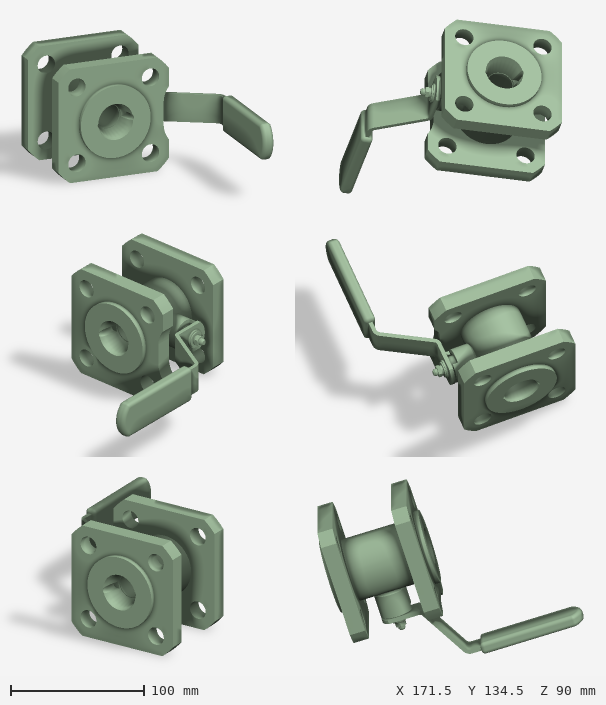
import cadquery as cq
import math


flange_side = 90.0
flange_thickness = 12.0
flange_corner_diameter = 114.9
raised_face_diameter = 57.0
raised_face_height = 4.0
body_length = 78.0
body_diameter = 48.0
bolt_hole_diameter = 14.0
bolt_spacing = 60.0

clearance_depth = 4.3
clearance_floor_width = 17.2
clearance_radius = 19.9

bore_diameter = 19.0
cone_mouth_diameter = 28.5
cone_throat_diameter = 20.0
cone_depth = raised_face_height + flange_thickness
groove_width = 5.8
groove_reach = 14.7
groove_offset = 1.45
groove_depth = 15.0

stem_x = body_length / 2
boss_diameter = 25.0
boss_root_diameter = 20.5
boss_root_y = 22.3
boss_cone_top_y = body_diameter / 2
boss_top_y = 41.7
gland_diameter = 16.0
notch_floor_y = 37.5
notch_left = 4.5
notch_back = 3.6

lever_thickness = 3.1
lever_width = 22.3
lever_bottom_y = 42.7
lever_end_reach = 12.5
lever_end_shoulder = 7.5
lower_bend_radius = 3.8
upper_bend_radius = 5.5
crank_angle = math.radians(60)
upper_bend_x = 84.2
stop_tab_inner = 8.2
stop_tab_outer = 11.3
stop_tab_bottom_y = 38.5

grip_start_x = 91.4
grip_end_x = 171.5
grip_shoulder_x = 164.6
grip_width = 28.5
grip_thickness = 9.0
grip_rounding = 3.0
overall_height_y = 134.5
grip_top_y = overall_height_y - flange_side / 2
grip_middle_y = grip_top_y - grip_thickness / 2

washer_diameter = 14.4
washer_top_y = 47.2
spring_washer_diameter = 12.3
spring_washer_top_y = 48.2
collar_diameter = 7.7
nut_bottom_y = 49.7
nut_top_y = 52.5
nut_across_flats = 7.9
nut_chamfer = 0.5
stem_diameter = 5.5
stem_tip_diameter = 3.8
stem_chamfer_y = 54.4
stem_top_y = 55.7


def disc_x(diameter, start, length):
    """Cylinder on the flow axis."""
    return cq.Workplane("YZ").workplane(offset=start).circle(diameter / 2).extrude(length)


def disc_y(diameter, bottom, top):
    """Cylinder on the stem axis."""
    plane = cq.Workplane("XZ", origin=(stem_x, bottom, 0))
    return plane.circle(diameter / 2).extrude(bottom - top)


def cone_y(bottom_diameter, bottom, top_diameter, top):
    """Truncated cone on the stem axis."""
    profile = [(0, bottom), (bottom_diameter / 2, bottom), (top_diameter / 2, top), (0, top)]
    cone = cq.Workplane("XY").polyline(profile).close().revolve(360, (0, 0, 0), (0, 1, 0))
    return cone.translate((stem_x, 0, 0))


def block(x_range, y_range, z_range):
    """Box given by its limits along each axis."""
    limits = (x_range, y_range, z_range)
    size = [high - low for low, high in limits]
    return cq.Workplane("XY").box(*size, centered=False).translate([low for low, high in limits])


def turn_end_for_end(shape):
    """Half turn about the stem axis: carries a left-end feature to the right end."""
    return shape.rotate((stem_x, 0, 0), (stem_x, 1, 0), 180)


def bend_offsets(radius, angle):
    """Run along, and rise away from, the tangent line where an arc of this radius begins."""
    return radius * math.sin(angle), radius * (1 - math.cos(angle))


def flange():
    """Square plate with its corners turned round, and four bolt holes."""
    plate = (
        cq.Workplane("YZ", origin=(raised_face_height, 0, 0))
        .rect(flange_side, flange_side)
        .extrude(flange_thickness)
    )
    turned = disc_x(flange_corner_diameter, raised_face_height, flange_thickness)
    holes = (
        cq.Workplane("YZ")
        .rect(bolt_spacing, bolt_spacing, forConstruction=True)
        .vertices()
        .circle(bolt_hole_diameter / 2)
        .extrude(cone_depth)
    )
    return plate.intersect(turned).cut(holes)


def lever_clearance():
    """Shallow recess across the right flange, its flat floor curving out at both ends."""
    edge_y = flange_side / 2
    floor_y = edge_y - clearance_depth
    floor_end = clearance_floor_width / 2
    angle = math.acos(1 - clearance_depth / clearance_radius)
    full_run = bend_offsets(clearance_radius, angle)[0]
    half_run, half_rise = bend_offsets(clearance_radius, angle / 2)
    mouth_end = floor_end + full_run
    return (
        cq.Workplane("YZ", origin=(body_length - cone_depth, 0, 0))
        .moveTo(floor_y, -floor_end)
        .lineTo(floor_y, floor_end)
        .threePointArc((floor_y + half_rise, floor_end + half_run), (edge_y, mouth_end))
        .lineTo(edge_y, -mouth_end)
        .threePointArc((floor_y + half_rise, -floor_end - half_run), (floor_y, -floor_end))
        .close()
        .extrude(flange_thickness)
    )


def port():
    """Tapered mouth with two round-ended grooves on opposite sides."""
    mouth = (
        cq.Workplane("YZ")
        .circle(cone_mouth_diameter / 2)
        .workplane(offset=cone_depth)
        .circle(cone_throat_diameter / 2)
        .loft(ruled=True)
    )
    groove = (
        cq.Workplane("YZ", origin=(0, groove_reach / 2, -groove_offset))
        .slot2D(groove_reach, groove_width)
        .extrude(groove_depth)
    )
    return mouth.union(groove).union(groove.rotate((0, 0, 0), (1, 0, 0), 180))


def stem_boss():
    boss = cone_y(boss_root_diameter, boss_root_y, boss_diameter, boss_cone_top_y)
    boss = boss.union(disc_y(boss_diameter, boss_cone_top_y, boss_top_y))
    notch = block(
        (stem_x - notch_left, stem_x + boss_diameter),
        (notch_floor_y, boss_top_y),
        (-notch_back, boss_diameter),
    )
    gland = disc_y(gland_diameter, boss_root_y, lever_bottom_y)
    return boss.cut(notch).union(gland)


def lever_strip():
    """Flat strip with a rounded end, bent up and back level again, with a stop tab below."""
    middle_y = lever_bottom_y + lever_thickness / 2
    lower_run, lower_rise = bend_offsets(lower_bend_radius, crank_angle)
    lower_mid_run, lower_mid_rise = bend_offsets(lower_bend_radius, crank_angle / 2)
    upper_run, upper_rise = bend_offsets(upper_bend_radius, crank_angle)
    upper_mid_run, upper_mid_rise = bend_offsets(upper_bend_radius, crank_angle / 2)
    slope_rise = grip_middle_y - middle_y - lower_rise - upper_rise
    slope_run = slope_rise / math.tan(crank_angle)
    lower_bend_x = upper_bend_x - upper_run - slope_run - lower_run

    path = (
        cq.Workplane("XY")
        .moveTo(stem_x - lever_end_reach, middle_y)
        .lineTo(lower_bend_x, middle_y)
        .threePointArc(
            (lower_bend_x + lower_mid_run, middle_y + lower_mid_rise),
            (lower_bend_x + lower_run, middle_y + lower_rise),
        )
        .lineTo(upper_bend_x - upper_run, grip_middle_y - upper_rise)
        .threePointArc(
            (upper_bend_x - upper_mid_run, grip_middle_y - upper_mid_rise),
            (upper_bend_x, grip_middle_y),
        )
        .lineTo(grip_start_x + grip_rounding, grip_middle_y)
    )
    strip = (
        cq.Workplane("YZ", origin=(stem_x - lever_end_reach, middle_y, 0))
        .rect(lever_thickness, lever_width)
        .sweep(path)
    )
    half_width = lever_width / 2
    trim_height = 2 * flange_side
    outline = (
        cq.Workplane("XZ")
        .moveTo(stem_x - lever_end_shoulder, half_width)
        .threePointArc((stem_x - lever_end_reach, 0), (stem_x - lever_end_shoulder, -half_width))
        .lineTo(grip_end_x, -half_width)
        .lineTo(grip_end_x, half_width)
        .close()
        .extrude(-trim_height)
    )
    tab = block(
        (stem_x + stop_tab_inner, stem_x + stop_tab_outer),
        (stop_tab_bottom_y, middle_y),
        (-notch_back, notch_back),
    )
    return strip.intersect(outline).union(tab)


def grip():
    half_width = grip_width / 2
    return (
        cq.Workplane("XZ", origin=(0, grip_top_y, 0))
        .moveTo(grip_start_x, -half_width)
        .lineTo(grip_shoulder_x, -half_width)
        .threePointArc((grip_end_x, 0), (grip_shoulder_x, half_width))
        .lineTo(grip_start_x, half_width)
        .close()
        .extrude(grip_thickness)
        .edges()
        .fillet(grip_rounding)
    )


def nut():
    """Hexagon nut with its corners turned down at both ends."""
    across_corners = nut_across_flats / math.cos(math.radians(30))
    hexagon = (
        cq.Workplane("XZ", origin=(stem_x, nut_bottom_y, 0))
        .transformed(rotate=(0, 0, 90))
        .polygon(6, across_corners)
        .extrude(nut_bottom_y - nut_top_y)
    )
    turned = disc_y(across_corners, nut_bottom_y, nut_top_y).edges("%CIRCLE").chamfer(nut_chamfer)
    return hexagon.intersect(turned)


def stem_hardware():
    parts = disc_y(washer_diameter, lever_bottom_y, washer_top_y)
    parts = parts.union(disc_y(spring_washer_diameter, washer_top_y, spring_washer_top_y))
    parts = parts.union(disc_y(collar_diameter, spring_washer_top_y, nut_bottom_y))
    parts = parts.union(nut())
    parts = parts.union(disc_y(stem_diameter, nut_bottom_y, stem_chamfer_y))
    return parts.union(cone_y(stem_diameter, stem_chamfer_y, stem_tip_diameter, stem_top_y))


valve = disc_x(body_diameter, raised_face_height, body_length - 2 * raised_face_height)
left_end = flange().union(disc_x(raised_face_diameter, 0, raised_face_height))
valve = valve.union(left_end).union(turn_end_for_end(left_end))
valve = valve.cut(lever_clearance())
valve = valve.union(stem_boss())

valve = valve.cut(disc_x(bore_diameter, 0, body_length))
valve = valve.cut(port()).cut(turn_end_for_end(port()))

handle = lever_strip().union(grip())
result = valve.union(handle).union(stem_hardware())